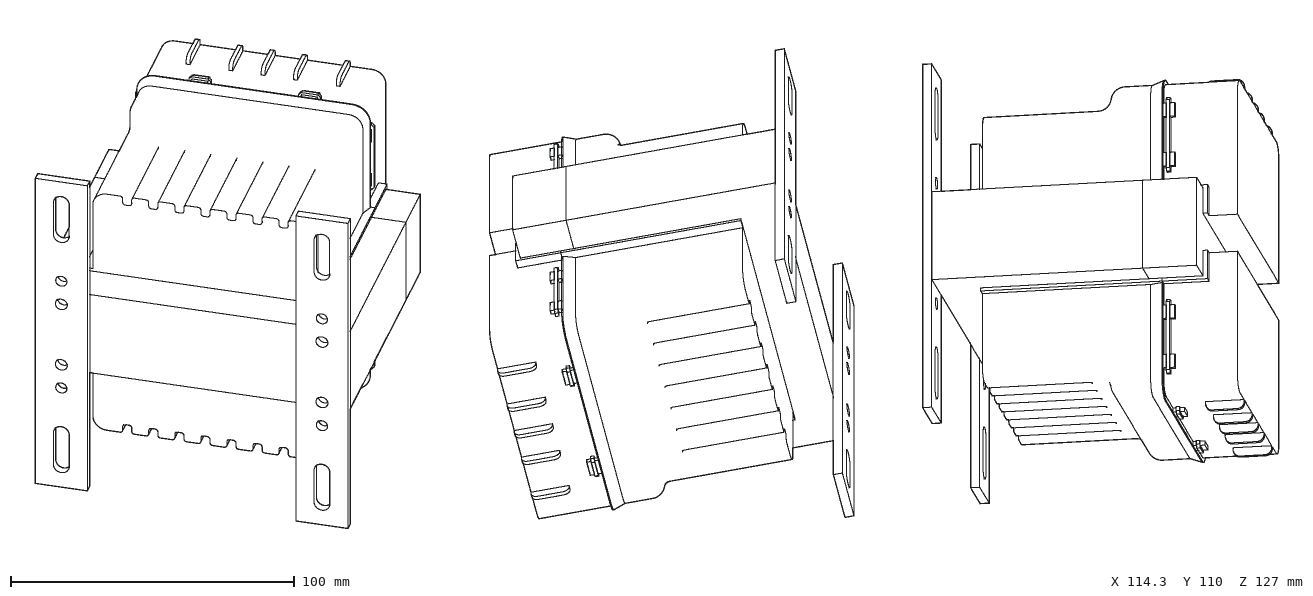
import cadquery as cq


plate_length = 127.0
plate_span = 114.3
plate_width = 19.0
plate_thickness = 3.3
plate_center_x = (plate_span - plate_width) / 2
slot_length = 19.0
slot_width = 5.7
slot_center_z = 47.9
bolt_hole_diameter = 4.1
bolt_hole_z = 22.2
core_hole_diameter = 4.3
core_hole_z = 12.6

core_width = 113.8
core_height = 32.5
core_length = 94.9
yoke_length = 19.3
core_top = core_height / 2
yoke_start = core_length - yoke_length

cover_width = 82.3
cover_top = 57.7
edge_radius = 5.2
flange_width = 88.6
flange_thickness = 1.1
flange_top = core_top + flange_thickness
end_flange_thickness = 1.7

coil_cover_start = 15.2
low_top = 49.1
step_end = 65.7
step_radius = 4.7
parting_y = 80.3
lip_height = 1.5
lip_band = 0.4

groove_count = 7
groove_pitch = 9.5
groove_width = 3.3
groove_depth = 3.4
groove_end = 52.2
groove_round = 1.0

cap_end = 106.7
cap_bottom = 6.9
rib_positions = [-27.4, -11.8, 0, 11.8, 27.4]
rib_width = 1.4
rib_length = 13.8
rib_height = 3.2
rib_round = 2.4

clip_y = 82.2
ridge_thickness = 1.3
ridge_height = 2.4
ridge_bevel = 1.0
pad_start = parting_y
pad_end = 84.5
pad_height = 1.5
top_clip_x = 20.1
top_ridge_length = 8.0
top_pad_length = 5.8
side_clip_z = 37.3
side_ridge_length = 27.2
side_pad_length = 5.0
side_pad_offset = 9.1


selection_margin = 0.1


def block(x0, x1, y0, y1, z0, z1):
    """Box between the given limits."""
    return cq.Workplane("XY").box(x1 - x0, y1 - y0, z1 - z0, centered=False).translate((x0, y0, z0))


def wide_block(width, y0, y1, z0, z1):
    """Box centred on X = 0."""
    return block(-width / 2, width / 2, y0, y1, z0, z1)


def cover_outline(y, bottom, growth=0.0):
    """Closed wire of the round-shouldered cover section at the given Y, grown outwards."""
    half = cover_width / 2 + growth
    top = cover_top + growth
    radius = edge_radius + growth
    return (
        cq.Workplane("XZ", origin=(0, y, 0))
        .moveTo(-half, bottom)
        .lineTo(half, bottom)
        .lineTo(half, top - radius)
        .radiusArc((half - radius, top), -radius)
        .lineTo(radius - half, top)
        .radiusArc((-half, top - radius), -radius)
        .close()
    )


def make_plate(center_x):
    plate = block(
        center_x - plate_width / 2,
        center_x + plate_width / 2,
        -plate_thickness,
        0,
        -plate_length / 2,
        plate_length / 2,
    )
    face = cq.Workplane("XZ", origin=(center_x, 0, 0))
    slots = (
        face.pushPoints([(0, -slot_center_z), (0, slot_center_z)])
        .slot2D(slot_length, slot_width, 90)
        .extrude(plate_thickness)
    )
    bolt_holes = (
        face.pushPoints([(0, -bolt_hole_z), (0, bolt_hole_z)])
        .circle(bolt_hole_diameter / 2)
        .extrude(plate_thickness)
    )
    core_holes = (
        face.pushPoints([(0, -core_hole_z), (0, core_hole_z)])
        .circle(core_hole_diameter / 2)
        .extrude(plate_thickness)
    )
    return plate.cut(slots).cut(bolt_holes).cut(core_holes)


def make_core():
    return wide_block(core_width, 0, yoke_start, -core_top, core_top)


def make_yoke():
    return wide_block(core_width, yoke_start, core_length, -core_top, core_top)


def stepped_body():
    """Coil cover body: a high block with a ball corner, blended down into a lower block."""
    front = step_end - edge_radius
    high = wide_block(cover_width, front, parting_y, core_top, cover_top)
    high = high.edges("|Z and <Y").fillet(edge_radius)
    high = high.edges(">Z and (not >Y)").fillet(edge_radius)
    low = wide_block(cover_width, coil_cover_start, parting_y, core_top, low_top)
    low = low.edges("|Y and >Z").fillet(edge_radius)
    inner_corner = cq.selectors.NearestToPointSelector((0, front, low_top))
    return high.union(low).edges(inner_corner).fillet(step_radius)


def make_lip():
    """Collar that flares out to the parting plane and ends in a narrow straight band."""
    flare_end = parting_y - lip_band
    flare = cq.Solid.makeLoft(
        [
            cover_outline(yoke_start, core_top).wires().val(),
            cover_outline(flare_end, core_top, lip_height).wires().val(),
        ],
        True,
    )
    band = cover_outline(parting_y, core_top, lip_height).extrude(lip_band)
    return band.union(cq.Workplane(flare))


def cut_grooves(body):
    """Cut the row of grooves, open at the plate end, with round floors and rims."""
    floor = low_top - groove_depth
    for index in range(groove_count):
        center_x = (index - (groove_count - 1) / 2) * groove_pitch
        left = center_x - groove_width / 2
        right = center_x + groove_width / 2
        cutter = block(left, right, coil_cover_start, groove_end, floor, low_top)
        cutter = cutter.edges(">Y and |Z").fillet(groove_round)
        cutter = cutter.faces("<Z").edges("not <Y").fillet(groove_round)
        rim = cq.selectors.BoxSelector(
            (left - selection_margin, coil_cover_start + selection_margin, low_top - selection_margin),
            (right + selection_margin, groove_end + selection_margin, low_top + selection_margin),
        )
        body = body.cut(cutter).edges(rim).fillet(groove_round)
    return body


def make_coil_cover():
    flange = wide_block(flange_width, coil_cover_start, parting_y, core_top, flange_top)
    return cut_grooves(stepped_body()).union(make_lip()).union(flange)


def make_rib(center_x):
    """Thin upright rib at the end of the cap, rounded at both upper corners."""
    top = cover_top + rib_height
    rib = block(
        center_x - rib_width / 2,
        center_x + rib_width / 2,
        cap_end - rib_length,
        cap_end,
        cover_top,
        top,
    )
    return rib.edges("|X and >Z").fillet(rib_round)


def make_clip(ridge_length, pad_length, pad_offsets):
    """Snap clip lying along X on the plane Z = 0, pointing up."""
    ridge = wide_block(
        ridge_length, clip_y - ridge_thickness / 2, clip_y + ridge_thickness / 2, 0, ridge_height
    )
    clip = ridge.edges("|Y and >Z").chamfer(ridge_bevel)
    for offset in pad_offsets:
        pad = wide_block(pad_length, pad_start, pad_end, 0, pad_height)
        clip = clip.union(pad.translate((offset, 0, 0)))
    return clip


def make_cap():
    """Terminal cap: rests on the core and reaches down over the end of the yoke."""
    flange_end = core_length + end_flange_thickness
    core_clearance = wide_block(flange_width, parting_y, core_length, cap_bottom, core_top)
    cap = cover_outline(cap_end, cap_bottom).extrude(cap_end - parting_y)
    cap = cap.union(wide_block(flange_width, parting_y, flange_end, cap_bottom, flange_top))
    cap = cap.cut(core_clearance)

    for rib_x in rib_positions:
        cap = cap.union(make_rib(rib_x))

    top_clip = make_clip(top_ridge_length, top_pad_length, [0])
    side_clip = make_clip(side_ridge_length, side_pad_length, [-side_pad_offset, side_pad_offset])
    for side in (-1, 1):
        cap = cap.union(top_clip.translate((side * top_clip_x, 0, cover_top)))
        turned_clip = side_clip.rotate((0, 0, 0), (0, 1, 0), side * 90)
        cap = cap.union(turned_clip.translate((side * cover_width / 2, 0, side_clip_z)))
    return cap


core = make_core()
yoke = make_yoke()
plates = [make_plate(side * plate_center_x) for side in (-1, 1)]

upper_coil_cover = make_coil_cover()
upper_cap = make_cap()
coil_covers = [upper_coil_cover, upper_coil_cover.mirror("XY")]
caps = [upper_cap, upper_cap.mirror("XY")]

bodies = [core, yoke, *plates, *coil_covers, *caps]
result = cq.Compound.makeCompound([body.solids().val() for body in bodies])